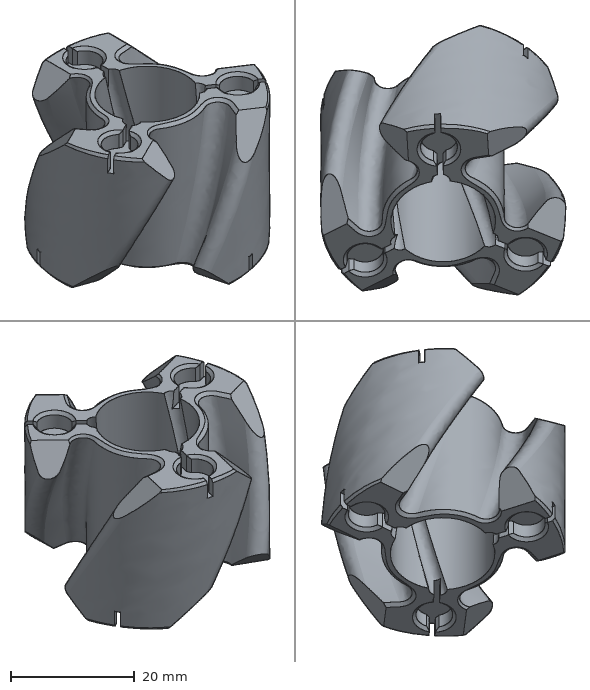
import cadquery as cq
import math

height = 27.35
twist = 45.0
lobe_count = 3
lobe_pitch = 360 / lobe_count
top_angle = -92.2
bottom_angle = top_angle - twist

outer_radius = 19.85
core_radius = 9.9
bore_radius = 8.45
neck_half_width = 3.9
flute_radius = 2.15
tip_radius = 1.85
tip_half_width = 11.63
end_chamfer = 0.5

groove_radius = 1.5
groove_radial = 8.35

pocket_radial = 15.0
pocket_radius = 2.98
pocket_depth = 3.18
pocket_chamfer = 0.55
slot_width = 1.0
slot_corner = 0.5

narrow_cut = 5.05
wide_cut = 7.98
cut_size = 15.88

overrun = 0.4


def point_around(center, radius, angle):
    return (center[0] + radius * math.cos(angle), center[1] + radius * math.sin(angle))


def turned(point, degrees):
    angle = math.atan2(point[1], point[0]) + math.radians(degrees)
    return point_around((0, 0), math.hypot(*point), angle)


def half_lobe_points():
    """Points on the +Y half of a lobe lying along +X, from the core out to the rim."""
    flute_side = neck_half_width + flute_radius
    flute_angle = math.asin(flute_side / (core_radius + flute_radius))
    flute_center = point_around((0, 0), core_radius + flute_radius, flute_angle)

    tip_side = tip_half_width - tip_radius
    tip_angle = math.asin(tip_side / (outer_radius - tip_radius))
    tip_center = point_around((0, 0), outer_radius - tip_radius, tip_angle)

    gap_x = tip_center[0] - flute_center[0]
    gap_y = tip_center[1] - flute_center[1]
    lean = math.asin((flute_radius + tip_radius) / math.hypot(gap_x, gap_y))
    normal = math.atan2(gap_y, gap_x) + lean - math.pi / 2

    core_end = point_around((0, 0), core_radius, flute_angle)
    flute_mid = point_around(flute_center, flute_radius, (flute_angle - math.pi + normal) / 2)
    flute_end = point_around(flute_center, flute_radius, normal)
    tip_start = point_around(tip_center, tip_radius, normal + math.pi)
    tip_mid = point_around(tip_center, tip_radius, (normal + math.pi + tip_angle) / 2)
    tip_end = point_around((0, 0), outer_radius, tip_angle)
    return core_end, flute_mid, flute_end, tip_start, tip_mid, tip_end


def lobed_section():
    """Closed outline of the bottom end."""
    plus_side = half_lobe_points()
    minus_side = [(x, -y) for x, y in plus_side]
    section = cq.Workplane("XY").moveTo(*turned(minus_side[0], bottom_angle))
    for i in range(lobe_count):
        angle = bottom_angle + i * lobe_pitch
        _, flute_mid, flute_end, tip_start, tip_mid, tip_end = [turned(p, angle) for p in minus_side]
        section = (
            section.threePointArc(flute_mid, flute_end)
            .lineTo(*tip_start)
            .threePointArc(tip_mid, tip_end)
        )
        core_end, flute_mid, flute_end, tip_start, tip_mid, tip_end = [turned(p, angle) for p in plus_side]
        section = (
            section.threePointArc(turned((outer_radius, 0), angle), tip_end)
            .threePointArc(tip_mid, tip_start)
            .lineTo(*flute_end)
            .threePointArc(flute_mid, core_end)
        )
        core_mid = turned((core_radius, 0), angle + lobe_pitch / 2)
        next_lobe = turned(minus_side[0], angle + lobe_pitch)
        section = section.threePointArc(core_mid, next_lobe)
    return section.close()


def twisted_body():
    body = lobed_section().twistExtrude(height, twist)
    return body.faces("<Z or >Z").edges().chamfer(end_chamfer)


def grooved_bore():
    bore = cq.Workplane("XY").circle(bore_radius).extrude(height)
    for i in range(lobe_count):
        center = turned((groove_radial, 0), bottom_angle + i * lobe_pitch)
        groove = cq.Workplane("XY").pushPoints([center]).circle(groove_radius).twistExtrude(height, twist)
        bore = bore.union(groove)
    return bore


def pocket_tool():
    """Chamfered round pocket with a slot through it from the bore to the rim; slot mouths are flared."""
    profile = [
        (0, 0),
        (pocket_radius + pocket_chamfer, 0),
        (pocket_radius, -pocket_chamfer),
        (pocket_radius, -pocket_depth),
        (0, -pocket_depth),
    ]
    pocket = (
        cq.Workplane("XZ").polyline(profile).close()
        .revolve(360, (0, 0), (0, 1))
        .translate((pocket_radial, 0, 0))
    )
    slot_start = bore_radius - overrun
    slot_length = outer_radius + overrun - slot_start
    slot = (
        cq.Workplane("XY", origin=(slot_start + slot_length / 2, 0, 0))
        .rect(slot_length, slot_width)
        .extrude(-pocket_depth)
    )

    half_width = slot_width / 2
    corner_angle = math.asin(half_width / pocket_radius)
    on_slot = (pocket_radius * math.cos(corner_angle) + slot_corner, half_width)
    on_pocket = point_around((0, 0), pocket_radius, corner_angle + slot_corner / pocket_radius)
    outer_half = [on_slot, on_pocket]
    inner_half = [(-x, y) for x, y in reversed(outer_half)]
    upper_side = outer_half + inner_half
    lower_side = [(x, -y) for x, y in reversed(upper_side)]
    flares = (
        cq.Workplane("XY", origin=(pocket_radial, 0, 0))
        .polyline(upper_side + lower_side)
        .close()
        .extrude(-pocket_depth)
    )
    return pocket.union(slot).union(flares)


def tip_cut_tool(start, side):
    """45 degree wedge over the lobe tip on the +Y (side = 1) or -Y (side = -1) half."""
    far = side * (start + cut_size)
    return (
        cq.Workplane("YZ", origin=(core_radius, 0, 0))
        .polyline([(side * start, 0), (far, 0), (far, -cut_size)])
        .close()
        .extrude(outer_radius)
    )


def lobe_end_tool():
    """All cuts in the end of one lobe lying along +X, with its end face at Z = 0."""
    cuts = tip_cut_tool(narrow_cut, 1).union(tip_cut_tool(wide_cut, -1))
    return cuts.union(pocket_tool())


result = twisted_body().cut(grooved_bore())

top_tool = lobe_end_tool().translate((0, 0, height))
bottom_tool = lobe_end_tool().rotate((0, 0, 0), (1, 0, 0), 180)
for i in range(lobe_count):
    for tool, first_angle in ((top_tool, top_angle), (bottom_tool, bottom_angle)):
        result = result.cut(tool.rotate((0, 0, 0), (0, 0, 1), first_angle + i * lobe_pitch))